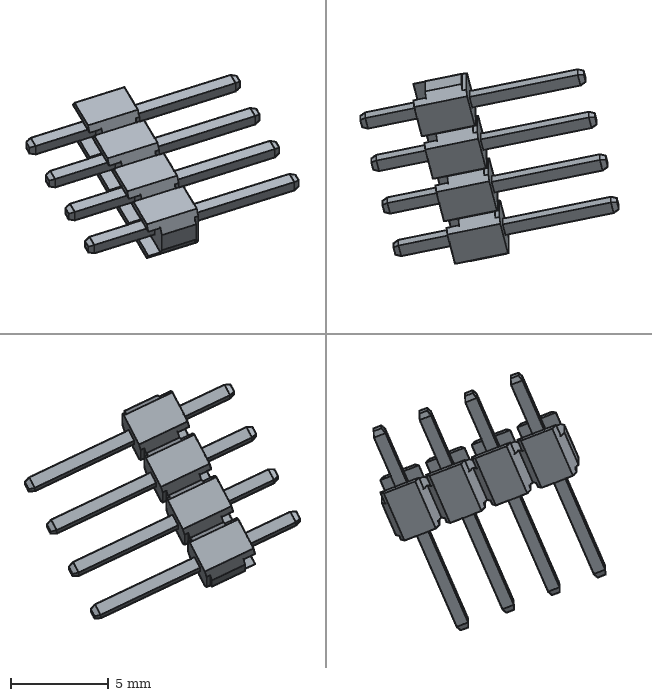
import cadquery as cq

pin_count = 4
row_width = 10.16
pitch = row_width / pin_count
housing_height = pitch
housing_depth = 2.8

cell_flat_width = 1.75
cell_side_height = 1.13

relief_height = 1.82
front_relief_depth = 0.67
rear_relief_depth = 0.21

pin_width = 0.64
front_pin_length = 3.0
rear_pin_length = 6.01
taper_length = 0.3
tip_width = 0.44

pin_length = front_pin_length + housing_depth + rear_pin_length
pin_front = -pin_length / 2
housing_front = pin_front + front_pin_length
housing_rear = housing_front + housing_depth
cell_centers = [(i - (pin_count - 1) / 2) * pitch for i in range(pin_count)]

slope_run = (pitch - cell_flat_width) / (housing_height - cell_side_height)
cell_width_at_relief = pitch - (relief_height - cell_side_height) * slope_run


def box_between(x_center, width, y_start, y_end, height):
    """Box centred on Z = 0, given its Y limits."""
    box = cq.Workplane("XY").box(width, y_end - y_start, height)
    return box.translate((x_center, (y_start + y_end) / 2, 0))


def make_cell(x_center):
    """Eight-sided prism holding one pin."""
    half_flat = cell_flat_width / 2
    half_pitch = pitch / 2
    half_side = cell_side_height / 2
    half_height = housing_height / 2
    outline = [
        (-half_flat, half_height),
        (half_flat, half_height),
        (half_pitch, half_side),
        (half_pitch, -half_side),
        (half_flat, -half_height),
        (-half_flat, -half_height),
        (-half_pitch, -half_side),
        (-half_pitch, half_side),
    ]
    cell = cq.Workplane("XZ").polyline(outline).close().extrude(-housing_depth)
    return cell.translate((x_center, housing_front, 0))


def make_taper(x_center, y_base, direction):
    """Pin end narrowing from y_base toward -Y (direction -1) or +Y (direction 1)."""
    base_plane = cq.Plane(origin=(x_center, y_base, 0), xDir=(1, 0, 0), normal=(0, direction, 0))
    return (
        cq.Workplane(base_plane)
        .rect(pin_width, pin_width)
        .workplane(offset=taper_length)
        .rect(tip_width, tip_width)
        .loft(ruled=True)
    )


def make_pin(x_center):
    """Square pin running through the housing, tapered at both ends."""
    shaft_front = pin_front + taper_length
    shaft_rear = pin_front + pin_length - taper_length
    shaft = box_between(x_center, pin_width, shaft_front, shaft_rear, pin_width)
    front_taper = make_taper(x_center, shaft_front, -1)
    rear_taper = make_taper(x_center, shaft_rear, 1)
    return shaft.union(front_taper).union(rear_taper)


def make_housing():
    """Row of joined cells with its front and rear reliefs."""
    housing = make_cell(cell_centers[0])
    for x_center in cell_centers[1:]:
        housing = housing.union(make_cell(x_center))

    channel_end = housing_front + front_relief_depth
    housing = housing.cut(box_between(0, row_width, housing_front, channel_end, relief_height))

    notch_width = pitch - cell_width_at_relief
    notch_start = housing_rear - rear_relief_depth
    for i in range(pin_count + 1):
        x_joint = -row_width / 2 + i * pitch
        notch = box_between(x_joint, notch_width, notch_start, housing_rear, relief_height)
        housing = housing.cut(notch)
    return housing


result = make_housing()
for pin_center in cell_centers:
    result = result.union(make_pin(pin_center))